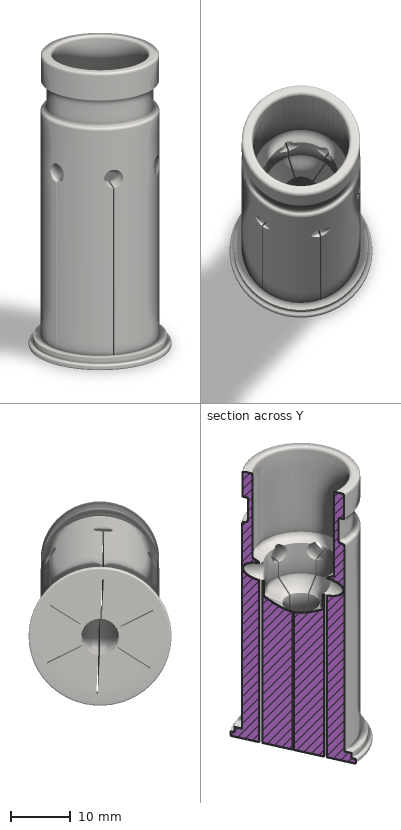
import cadquery as cq
import math

length = 52.5

rim_radius = 24.0 / 2
rim_height = 1.0
rim_edge_radius = 0.3
step_radius = 22.5 / 2
step_height = 1.0

body_radius = 20.0 / 2
body_top = 42.65
neck_radius = 18.0 / 2
head_radius = 19.9 / 2
head_height = 5.05
head_edge_radius = 0.5
head_lower_radius = 0.2
shoulder_round = (body_radius - neck_radius) / 2
neck_top_radius = 0.15

counterbore_radius = 16.3 / 2
relief_radius = 6.3
clamp_radius = 3.15
relief_top = 34.85
relief_bottom = 28.9
cone_half_angle = 59.0

slot_count = 6
slot_width = 0.25
first_slot_angle = 30.0
hole_diameter = 3.25
hole_height = 33.5
overshoot = 0.5


def disc(radius, bottom, top):
    return cq.Workplane("XY").workplane(offset=bottom).circle(radius).extrude(top - bottom)


def make_neck_fillet(shoulder_height, size):
    """Concave ring between neck and shoulder; a negative size hangs below the shoulder."""
    radius = abs(size)
    return (
        cq.Workplane("XZ")
        .moveTo(0, shoulder_height)
        .lineTo(neck_radius + radius, shoulder_height)
        .radiusArc((neck_radius, shoulder_height + size), size)
        .lineTo(0, shoulder_height + size)
        .close()
        .revolve(360, (0, 0, 0), (0, 1, 0))
    )


def make_outside():
    step_top = rim_height + step_height
    head_bottom = length - head_height
    rim = disc(rim_radius, 0, rim_height).edges().fillet(rim_edge_radius)
    step = disc(step_radius, 0, step_top)
    body = disc(body_radius, 0, body_top).faces(">Z").edges().fillet(shoulder_round)
    head = disc(head_radius, head_bottom, length)
    head = head.faces(">Z").edges().fillet(head_edge_radius)
    head = head.faces("<Z").edges().fillet(head_lower_radius)
    neck = disc(neck_radius, body_top, head_bottom)
    neck_foot = make_neck_fillet(body_top, shoulder_round)
    neck_top = make_neck_fillet(head_bottom, -neck_top_radius)
    neck = neck.union(neck_foot).union(neck_top)
    return rim.union(step).union(body).union(neck).union(head)


def make_bore():
    cone_slope = 1 / math.tan(math.radians(cone_half_angle))
    counterbore_bottom = relief_top + (counterbore_radius - relief_radius) * cone_slope
    clamp_top = relief_bottom - (relief_radius - clamp_radius) * cone_slope
    mouth_radius = counterbore_radius + head_edge_radius
    return (
        cq.Workplane("XZ")
        .moveTo(0, 0)
        .lineTo(clamp_radius, 0)
        .lineTo(clamp_radius, clamp_top)
        .lineTo(relief_radius, relief_bottom)
        .lineTo(relief_radius, relief_top)
        .lineTo(counterbore_radius, counterbore_bottom)
        .lineTo(counterbore_radius, length - head_edge_radius)
        .radiusArc((mouth_radius, length), head_edge_radius)
        .lineTo(0, length)
        .close()
        .revolve(360, (0, 0, 0), (0, 1, 0))
    )


def make_slots():
    slots = cq.Workplane("XY")
    reach = body_radius + overshoot
    for index in range(slot_count):
        hole = cq.Workplane("YZ").center(0, hole_height).circle(hole_diameter / 2).extrude(reach)
        slot = cq.Workplane("XY").box(reach, slot_width, hole_height, centered=(False, True, False))
        angle = first_slot_angle + index * 360 / slot_count
        slots = slots.union(hole.union(slot).rotate((0, 0, 0), (0, 0, 1), angle))
    return slots.intersect(disc(body_radius, 0, length))


result = make_outside().cut(make_bore()).cut(make_slots())